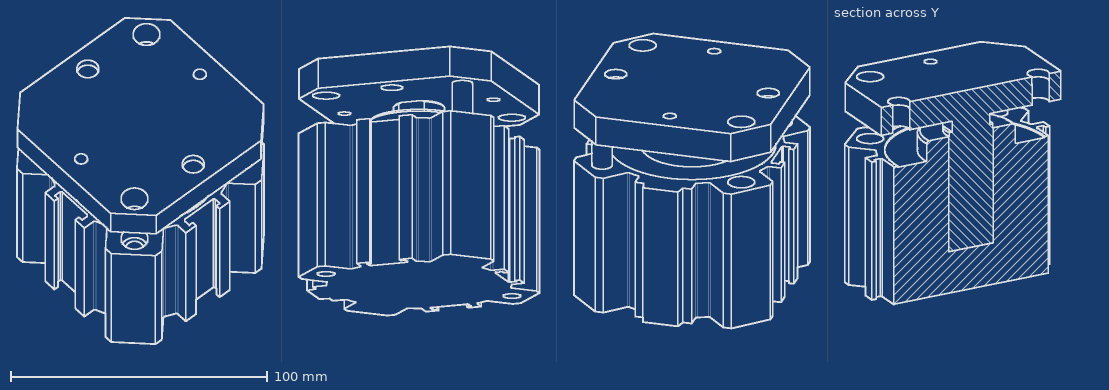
import cadquery as cq
import math

side = 80.0
half = side / 2
total_height = 84.0
housing_height = 58.0
plate_thickness = 12.0
plate_bottom = total_height - plate_thickness
plate_corner_cut = 12.6
housing_corner_cut = 12.3

corner_offset = 28.3
pin_corners = [(-corner_offset, -corner_offset), (corner_offset, corner_offset)]
hole_corners = [(-corner_offset, corner_offset), (corner_offset, -corner_offset)]

head_diameter = 40.0
head_height = 8.0
head_chamfer = 1.0
head_top = housing_height + head_height

recess_diameter = 65.5
recess_depth = 0.5
recess_floor = housing_height - recess_depth

slot_opening = 12.3
slot_width = 16.0
slot_floor = 34.35
slot_corner_chamfer = 0.5
lip_face = 39.6
lip_thickness = 1.9

lip_outer = 11.5
post_flank = 24.4
channel_floor_radius = 36.1
channel_fillet = 0.8

overall_depth = 84.0
rail_height = overall_depth - side
rail_base_width = 15.9
rail_tip_width = 14.3

screw_diameter = 7.0
screw_head_diameter = 10.5
screw_head_depth = 6.5

rod_diameter = 20.0
rod_chamfer = 0.5
rod_flat_width = 17.0
rod_collar_height = 1.7
rod_flat_bottom = head_top + rod_collar_height
pin_diameter = 8.0
engagement = 40.3
shaft_bottom = housing_height - engagement

plate_hole_offset = 31.0
tapped_diameter = 8.5
tapped_entry_diameter = 8.6
tapped_entry_depth = 3.2
dowel_diameter = 4.95


def octagon(height, corner_cut, bottom=0.0):
    """Square block with its four upright corners cut off."""
    block = cq.Workplane("XY").workplane(offset=bottom).rect(side, side).extrude(height)
    return block.edges("|Z").chamfer(corner_cut)


def cylinders(diameter, bottom, top, points):
    """Upright cylinders of one diameter, centred on the given points."""
    base = cq.Workplane("XY").workplane(offset=bottom)
    return base.pushPoints(points).circle(diameter / 2).extrude(top - bottom)


def bar(x_start, x_end, width):
    """Bar as tall as the housing, centred on the X axis."""
    base = cq.Workplane("XY").center((x_start + x_end) / 2, 0)
    return base.rect(x_end - x_start, width).extrude(housing_height)


def t_slot():
    """T-slot of the +X side and the strip in front of its lips, as a solid to cut away."""
    inner = bar(slot_floor, lip_face - lip_thickness, slot_width)
    inner = inner.edges("|Z and <X").chamfer(slot_corner_chamfer)
    opening = bar(slot_floor, half, slot_opening)
    lip_setback = bar(lip_face, half, 2 * lip_outer)
    return inner.union(opening).union(lip_setback)


def side_channel():
    """Channel of the +X side at positive Y: round floor, straight lip side and 45 degree post flank."""
    flank_shift = half - post_flank
    radius = channel_floor_radius
    flank_x = (flank_shift + math.sqrt(2 * radius**2 - flank_shift**2)) / 2
    flank_floor = (flank_x, flank_x - flank_shift)
    lip_floor = (math.sqrt(radius**2 - lip_outer**2), lip_outer)
    middle_angle = (math.atan2(flank_floor[1], flank_floor[0]) + math.atan2(lip_floor[1], lip_floor[0])) / 2
    middle = (radius * math.cos(middle_angle), radius * math.sin(middle_angle))
    channel = (
        cq.Workplane("XY")
        .moveTo(half, lip_outer)
        .lineTo(*lip_floor)
        .threePointArc(middle, flank_floor)
        .lineTo(half, post_flank)
        .close()
        .extrude(housing_height)
    )
    return channel.edges("|Z and (not >X)").fillet(channel_fillet)


def rail():
    """Rail with slanted flanks that stands out from the +Y side."""
    return (
        cq.Workplane("XY")
        .moveTo(-rail_base_width / 2, half)
        .lineTo(-rail_tip_width / 2, half + rail_height)
        .lineTo(rail_tip_width / 2, half + rail_height)
        .lineTo(rail_base_width / 2, half)
        .close()
        .extrude(housing_height)
    )


def make_housing():
    """Housing with its head, side profile, screw holes and bores."""
    housing = octagon(housing_height, housing_corner_cut)
    for angle in (0, 90, 180, 270):
        channel = side_channel()
        for cutter in (channel, channel.mirror("XZ")):
            housing = housing.cut(cutter.rotate((0, 0, 0), (0, 0, 1), angle))
    for angle in (0, 180, 270):
        housing = housing.cut(t_slot().rotate((0, 0, 0), (0, 0, 1), angle))
    housing = housing.union(rail())

    centre = [(0, 0)]
    housing = housing.cut(cylinders(recess_diameter, recess_floor, housing_height, centre))
    head = cylinders(head_diameter, recess_floor, head_top, centre)
    housing = housing.union(head.faces(">Z").chamfer(head_chamfer))

    housing = housing.cut(cylinders(screw_diameter, 0, housing_height, hole_corners))
    head_seat = housing_height - screw_head_depth
    housing = housing.cut(cylinders(screw_head_diameter, head_seat, housing_height, hole_corners))

    housing = housing.cut(cylinders(rod_diameter, shaft_bottom, head_top, centre))
    return housing.cut(cylinders(pin_diameter, shaft_bottom, housing_height, pin_corners))


def make_rod():
    """Rod with a chamfered end and two flats below the plate."""
    rod = cylinders(rod_diameter, shaft_bottom, plate_bottom, [(0, 0)]).faces(">Z").chamfer(rod_chamfer)
    flat_height = plate_bottom - rod_flat_bottom
    cut_width = (rod_diameter - rod_flat_width) / 2
    cut_offset = (rod_diameter - cut_width) / 2
    flats = (
        cq.Workplane("XY")
        .workplane(offset=rod_flat_bottom)
        .pushPoints([(-cut_offset, 0), (cut_offset, 0)])
        .rect(cut_width, rod_diameter)
        .extrude(flat_height)
    )
    return rod.cut(flats)


def make_carriage():
    """Moving plate with the rod and the guide pins that carry it."""
    plate = octagon(plate_thickness, plate_corner_cut, plate_bottom)
    plate = plate.cut(cylinders(screw_head_diameter, plate_bottom, total_height, hole_corners))

    tapped_points = [(-plate_hole_offset, 0), (plate_hole_offset, 0)]
    entry_bottom = total_height - tapped_entry_depth
    plate = plate.cut(cylinders(tapped_diameter, plate_bottom, total_height, tapped_points))
    plate = plate.cut(cylinders(tapped_entry_diameter, entry_bottom, total_height, tapped_points))

    dowel_points = [(0, -plate_hole_offset), (0, plate_hole_offset)]
    plate = plate.cut(cylinders(dowel_diameter, plate_bottom, total_height, dowel_points))

    pins = cylinders(pin_diameter, shaft_bottom, plate_bottom, pin_corners)
    return plate.union(make_rod()).union(pins)


housing = make_housing()
carriage = make_carriage()
result = cq.Compound.makeCompound([housing.solids().val(), carriage.solids().val()])